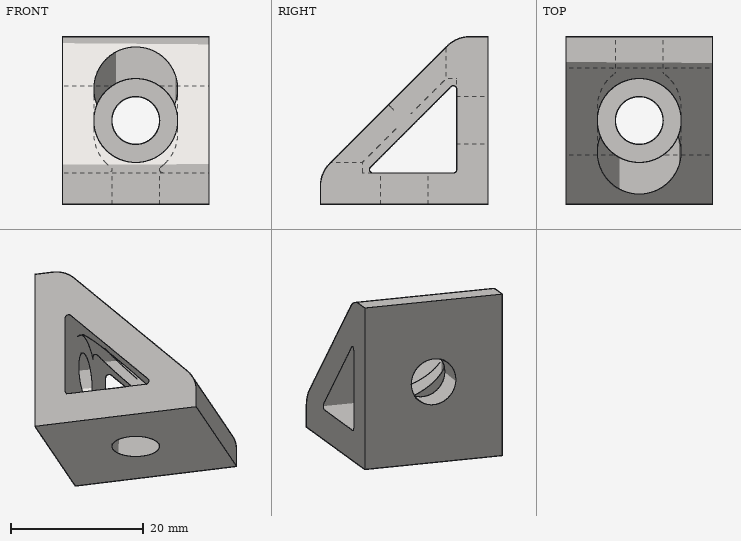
import cadquery as cq

width = 22.22
leg = 25.4
wall = 4.78
slope_fillet = 4.83
window_leg = 13.9
window_fillet = 0.5
bolt_diameter = 7.2
head_diameter = 12.7

middle = leg / 2
inner_face_y = leg - wall


def extrude_across(profile):
    """Extrude a profile on the YZ plane over the full width."""
    return profile.extrude(width / 2, both=True)


def body():
    outline = cq.Workplane("YZ").polyline(
        [(0, 0), (leg, 0), (leg, leg), (inner_face_y, leg), (0, wall)]
    ).close()
    lower_edge = cq.selectors.NearestToPointSelector((0, 0, wall))
    upper_edge = cq.selectors.NearestToPointSelector((0, inner_face_y, leg))
    return extrude_across(outline).edges(lower_edge + upper_edge).fillet(slope_fillet)


def window():
    """Triangular opening that runs through the full width."""
    outline = cq.Workplane("YZ").polyline(
        [
            (inner_face_y, wall),
            (inner_face_y - window_leg, wall),
            (inner_face_y, wall + window_leg),
        ]
    ).close()
    return extrude_across(outline).edges("|X").fillet(window_fillet)


def stepped_hole():
    """Vertical bolt hole through a leg, with head clearance above the leg."""
    bolt = cq.Workplane("XY").circle(bolt_diameter / 2).extrude(leg)
    head = cq.Workplane("XY").workplane(offset=wall).circle(head_diameter / 2).extrude(leg)
    return bolt.union(head)


bottom_hole = stepped_hole().translate((0, middle, 0))
back_hole = stepped_hole().rotate((0, 0, 0), (1, 0, 0), 90).translate((0, leg, middle))

result = body().cut(window()).cut(bottom_hole).cut(back_hole)